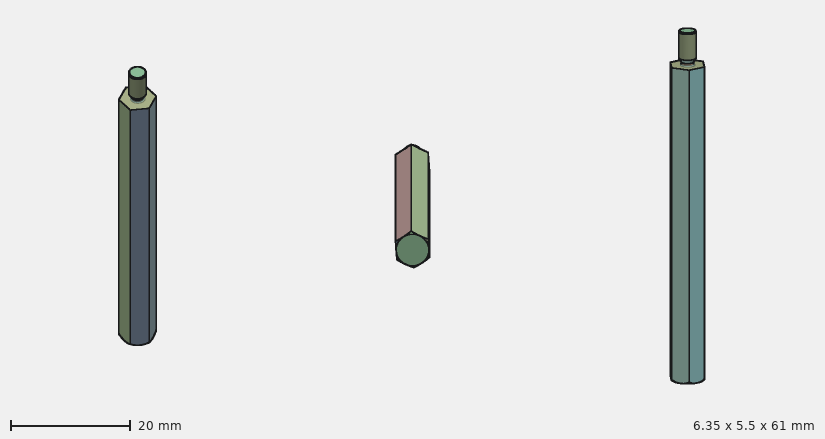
import cadquery as cq
import math

total_length = 61.0
across_flats = 5.5
stud_length = 6.0

stud_diameter = 3.0
stud_tip_diameter = 2.7
stud_tip_height = 0.25
neck_diameter = 2.15
neck_length = 0.5
neck_fillet_radius = 0.2
neck_taper_height = 0.75

end_face_diameter = across_flats
end_chamfer_height = 0.4

across_corners = across_flats / math.cos(math.pi / 6)
body_length = total_length - stud_length


def make_hex_body():
    """Hexagonal bar with two corners on the X axis and a turned lower end."""
    bar = cq.Workplane("XY").polygon(6, across_corners).extrude(body_length)
    turned_envelope = (
        cq.Workplane("XZ")
        .moveTo(0, 0)
        .lineTo(end_face_diameter / 2, 0)
        .lineTo(across_corners / 2, end_chamfer_height)
        .lineTo(across_corners / 2, body_length)
        .lineTo(0, body_length)
        .close()
        .revolve(360, (0, 0, 0), (0, 1, 0))
    )
    return bar.intersect(turned_envelope)


def make_stud():
    """Stud with a neck filleted into the body, a tapered run-out and a chamfered tip."""
    neck_radius = neck_diameter / 2
    neck_top = body_length + neck_length
    taper_top = neck_top + neck_taper_height
    return (
        cq.Workplane("XZ")
        .moveTo(0, body_length)
        .lineTo(neck_radius + neck_fillet_radius, body_length)
        .radiusArc((neck_radius, body_length + neck_fillet_radius), neck_fillet_radius)
        .lineTo(neck_radius, neck_top)
        .lineTo(stud_diameter / 2, taper_top)
        .lineTo(stud_diameter / 2, total_length - stud_tip_height)
        .lineTo(stud_tip_diameter / 2, total_length)
        .lineTo(0, total_length)
        .close()
        .revolve(360, (0, 0, 0), (0, 1, 0))
    )


result = make_hex_body().union(make_stud())